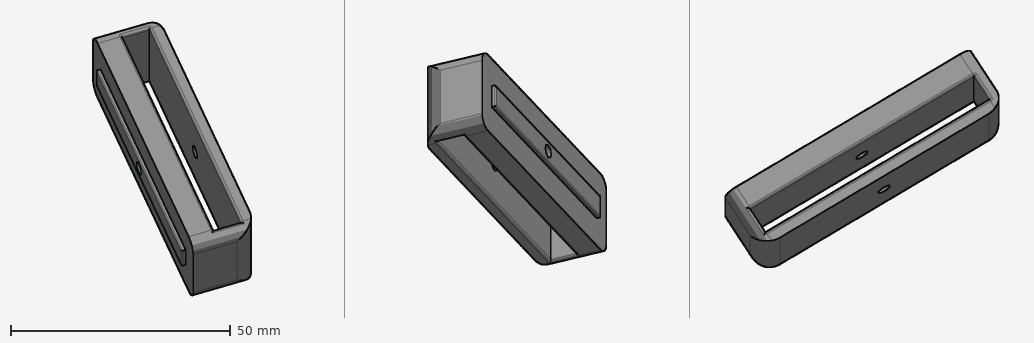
import cadquery as cq
length = 66.0
height = 20.0
front_wall = 6.0
slot_depth = 6.6
back_wall = 3.0
body_depth = front_wall + slot_depth + back_wall
edge_radius = 3.0
back_corner_radius = 5.0

slot_length = 60.05
slot_center_y = front_wall + slot_depth / 2
mouth_radius = 0.6
edge_margin = 0.1

rail_length = 56.0
rail_height = 5.5
rail_projection = 1.0
rail_edge_radius = 0.3

hole_diameter = 3.0


def make_body():
    """Block with rounded long corners and larger rounds on the back corners."""
    block = cq.Workplane("XY").box(length, body_depth, height, centered=(True, False, True))
    rounded = block.edges("|Y").fillet(edge_radius)
    back_rounded = block.edges("|Z and >Y").fillet(back_corner_radius)
    return rounded.intersect(back_rounded)


def cut_slot(body):
    """Cut the full-height slot and round its mouths at the top and bottom."""
    slot = cq.Workplane("XY").box(slot_length, slot_depth, height).translate((0, slot_center_y, 0))
    slotted = body.cut(slot)
    reach_x = slot_length / 2 + edge_margin
    reach_y = slot_depth / 2 + edge_margin
    around_slot = cq.selectors.BoxSelector(
        (-reach_x, slot_center_y - reach_y, -height),
        (reach_x, slot_center_y + reach_y, height),
        boundingbox=True,
    )
    return slotted.edges(around_slot).edges("not |Z").fillet(mouth_radius)


def make_rail():
    """Low bar on the front face with rounded outer edges."""
    rail = cq.Workplane("XY").box(rail_length, rail_projection, rail_height)
    rail = rail.faces("<Y").edges().fillet(rail_edge_radius)
    return rail.translate((0, -rail_projection / 2, 0))


def make_hole():
    """Round hole running front to back through the rail and both walls."""
    hole_length = rail_projection + body_depth
    return cq.Workplane("XZ", origin=(0, body_depth, 0)).circle(hole_diameter / 2).extrude(hole_length)


result = cut_slot(make_body()).union(make_rail()).cut(make_hole())